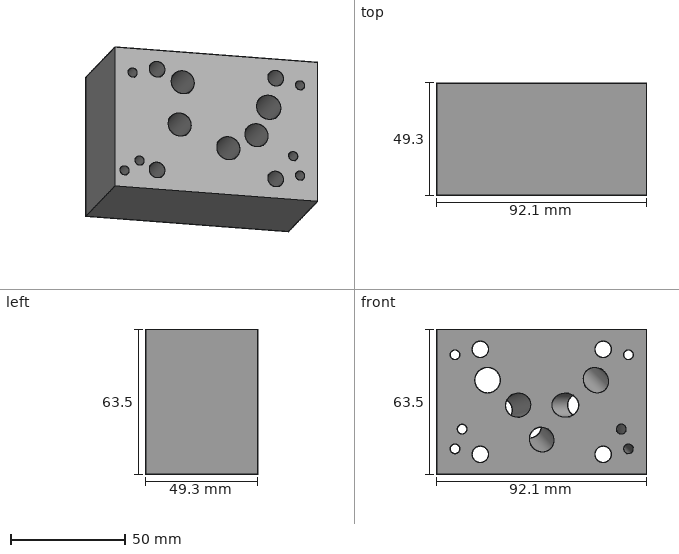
import cadquery as cq

length = 92.1
depth = 49.3
height = 63.5
front_y = -depth / 2
overrun = 0.9

bolt_diameter = 7.1
bolt_span_x = 53.9
bolt_span_z = 46.0

pin_diameter = 4.1
pin_x = 38.0
pin_top_z = 20.6
pin_bottom_z = -20.6
pilot_x = 34.9
pilot_z = -12.0

main_port_diameter = 11.05
main_port_x = -23.8
main_port_z = 9.5

port_diameter = 10.5
mid_bend = depth / 2
shallow_bend = 12.9
pilot_bend = 18.4
port_passages = [
    ((-10.3, -1.5), (-7.9, -2.2), mid_bend),
    ((10.3, -1.5), (6.35, 0.0), shallow_bend),
    ((0.0, -16.6), (-5.4, 6.0), mid_bend),
    ((-main_port_x, main_port_z), (-8.5, 8.5), mid_bend),
]
pilot_passages = [
    ((pilot_x, pilot_z), (0.0, -7.4), pilot_bend),
    ((pin_x, pin_bottom_z), (3.7, -3.7), mid_bend),
]


def cylinder_between(start, end, diameter):
    """Cylinder whose axis runs from start to end."""
    axis = end - start
    return cq.Solid.makeCylinder(diameter / 2, axis.Length, start, axis)


def straight_hole(x, z, diameter):
    """Hole through the whole block along Y."""
    start = cq.Vector(x, front_y - overrun, z)
    end = cq.Vector(x, -front_y + overrun, z)
    return cylinder_between(start, end, diameter)


def angled_passage(opening, shift, bend_depth, diameter):
    """Slanted bore, round bend and straight bore to the back face."""
    mouth = cq.Vector(opening[0], front_y, opening[1])
    slope = cq.Vector(shift[0], bend_depth, shift[1])
    bend = mouth + slope
    start = mouth - slope * (diameter / slope.Length)
    exit_point = cq.Vector(bend.x, -front_y + overrun, bend.z)
    ball = cq.Workplane("XY").sphere(diameter / 2).val().translate(bend)
    slanted = cylinder_between(start, bend, diameter)
    straight = cylinder_between(bend, exit_point, diameter)
    return slanted.fuse(ball, straight)


result = cq.Workplane("XY").box(length, depth, height)

for side_x in (-1, 1):
    for side_z in (-1, 1):
        bolt_hole = straight_hole(side_x * bolt_span_x / 2, side_z * bolt_span_z / 2, bolt_diameter)
        result = result.cut(bolt_hole)

straight_pins = [
    (-pin_x, pin_top_z),
    (pin_x, pin_top_z),
    (-pin_x, pin_bottom_z),
    (-pilot_x, pilot_z),
]
for x, z in straight_pins:
    result = result.cut(straight_hole(x, z, pin_diameter))

result = result.cut(straight_hole(main_port_x, main_port_z, main_port_diameter))

for opening, shift, bend_depth in port_passages:
    result = result.cut(angled_passage(opening, shift, bend_depth, port_diameter))

for opening, shift, bend_depth in pilot_passages:
    result = result.cut(angled_passage(opening, shift, bend_depth, pin_diameter))